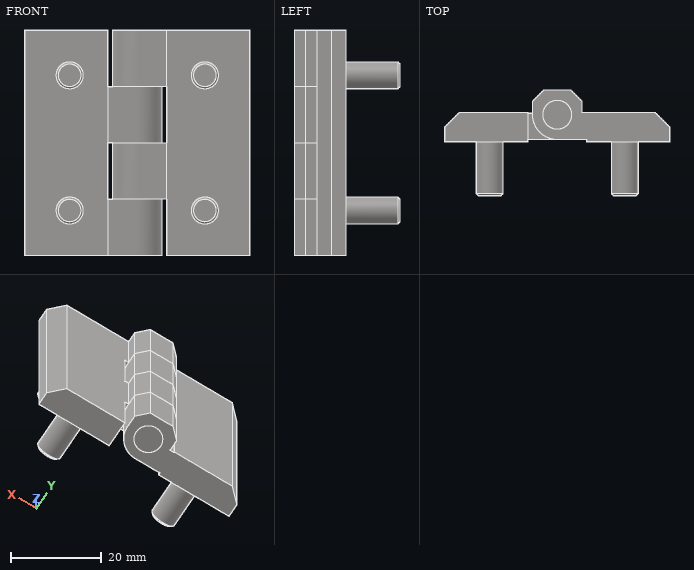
import cadquery as cq

hinge_width = 50.0
hinge_height = 50.0
leaf_thickness = 6.5
leaf_bevel = 3.25
leaf_inner_x = 6.5

knuckle_count = 4
knuckle_height = hinge_height / knuckle_count
knuckle_radius = 5.5
knuckle_chamfer = 2.5
pin_axis_y = 6.0
knuckle_top_y = pin_axis_y + knuckle_radius
pin_diameter = 6.4
left_neck_drop = 0.15
left_neck_top_y = leaf_thickness - left_neck_drop
right_neck_top_y = leaf_thickness

stud_diameter = 6.0
stud_length = 12.0
stud_chamfer = 0.5
stud_spacing = 30.0

half_width = hinge_width / 2
bottom_z = -hinge_height / 2


def extrude_up(profile, start_z, height):
    """Extrude a closed XY profile upward from start_z."""
    return profile.extrude(height).translate((0, 0, start_z))


def make_plate(side):
    """Leaf plate with its outer front edge bevelled; side is -1 or +1 along X."""
    profile = (
        cq.Workplane("XY")
        .moveTo(side * leaf_inner_x, 0)
        .lineTo(side * half_width, 0)
        .lineTo(side * half_width, leaf_thickness - leaf_bevel)
        .lineTo(side * (half_width - leaf_bevel), leaf_thickness)
        .lineTo(side * leaf_inner_x, leaf_thickness)
        .close()
    )
    return extrude_up(profile, bottom_z, hinge_height)


def make_knuckle(side, neck_top_y, start_z):
    """Knuckle with a chamfered crown, a rounded back and a neck reaching its leaf."""
    back_y = pin_axis_y - knuckle_radius
    shoulder_y = knuckle_top_y - knuckle_chamfer
    crown_half_width = knuckle_radius - knuckle_chamfer
    profile = (
        cq.Workplane("XY")
        .moveTo(side * leaf_inner_x, back_y)
        .lineTo(0, back_y)
        .radiusArc((-side * knuckle_radius, pin_axis_y), side * knuckle_radius)
        .lineTo(-side * knuckle_radius, shoulder_y)
        .lineTo(-side * crown_half_width, knuckle_top_y)
        .lineTo(side * crown_half_width, knuckle_top_y)
        .lineTo(side * knuckle_radius, shoulder_y)
        .lineTo(side * knuckle_radius, neck_top_y)
        .lineTo(side * leaf_inner_x, neck_top_y)
        .close()
    )
    return extrude_up(profile, start_z, knuckle_height)


def make_stud(x, z):
    """Round stud standing on the mounting face, with a chamfered tip."""
    return (
        cq.Workplane("XZ", origin=(x, 0, z))
        .circle(stud_diameter / 2)
        .extrude(stud_length)
        .faces("<Y")
        .chamfer(stud_chamfer)
    )


def make_pin():
    """Hinge pin running the full height, flush at both ends."""
    profile = cq.Workplane("XY").center(0, pin_axis_y).circle(pin_diameter / 2)
    return extrude_up(profile, bottom_z, hinge_height)


def make_leaf(side, neck_top_y, first_knuckle, pin):
    """One hinge leaf: plate, every second knuckle, two studs and the pin bore."""
    leaf = make_plate(side)
    for index in range(first_knuckle, knuckle_count, 2):
        start_z = bottom_z + index * knuckle_height
        leaf = leaf.union(make_knuckle(side, neck_top_y, start_z))
    for z in (-stud_spacing / 2, stud_spacing / 2):
        leaf = leaf.union(make_stud(side * stud_spacing / 2, z))
    return leaf.cut(pin)


pin = make_pin()
left_leaf = make_leaf(-1, left_neck_top_y, 0, pin)
right_leaf = make_leaf(1, right_neck_top_y, 1, pin)

result = cq.Compound.makeCompound([left_leaf.val(), right_leaf.val(), pin.val()])